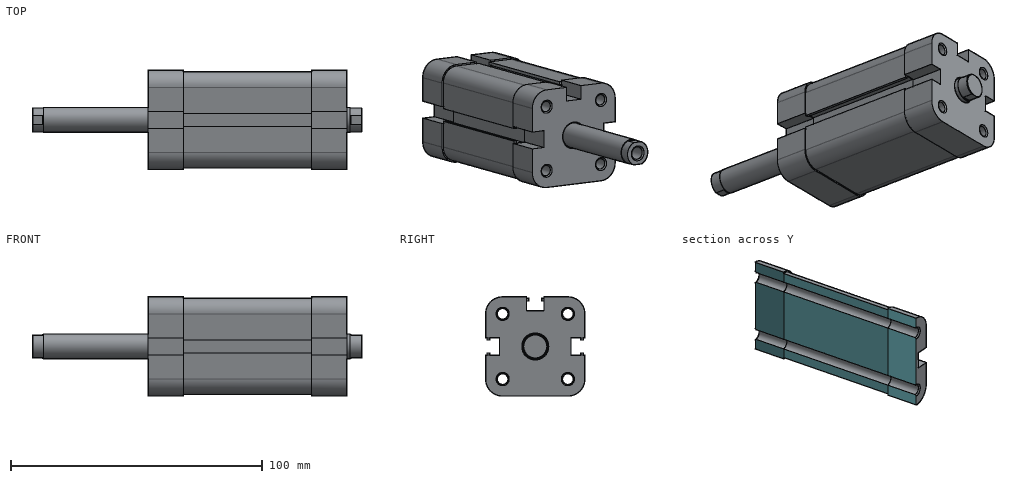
import cadquery as cq

ROD_LENGTH = 131.0
FRONT_CAP_START = 46.0
CAP_LENGTH = 14.0
BARREL_LENGTH = 51.0
BARREL_START = FRONT_CAP_START + CAP_LENGTH
BARREL_MIDDLE = BARREL_START + BARREL_LENGTH / 2

CAP_WIDTH = 39.5
BARREL_WIDTH = 38.4
HOLE_SPACING = 26.0
CORNER_HOLES = [(y * HOLE_SPACING / 2, z * HOLE_SPACING / 2) for y in (-1, 1) for z in (-1, 1)]
HOLE_DIAMETER = 4.2
HOLE_CHAMFER = 0.5

SLOT_ANGLES = (-90, 0, 90)
SLOT_WIDTH = 6.8
SLOT_DEPTH = 5.5
SLOT_FLOOR = CAP_WIDTH / 2 - SLOT_DEPTH
LIP_OPENING = 5.1
LIP_THICKNESS = 1.2
UNDERCUT_WIDTH = 7.3

ROD_DIAMETER = 10.0
ROD_HOLE_CHAMFER = 0.4
END_DIAMETER = 9.7
FLAT_SPAN = 9.0
FLAT_LENGTH = 4.0
FLAT_TO_STEP = 0.4
TAIL_CHAMFER = 0.3
TIP_FLAT_LENGTH = FLAT_LENGTH
TAIL_FLAT_LENGTH = FLAT_LENGTH + TAIL_CHAMFER
TIP_END_LENGTH = TIP_FLAT_LENGTH + FLAT_TO_STEP
TAIL_END_LENGTH = TAIL_FLAT_LENGTH + FLAT_TO_STEP
SHANK_LENGTH = ROD_LENGTH - TIP_END_LENGTH - TAIL_END_LENGTH
SOCKET_DIAMETER = 5.0
SOCKET_DEPTH = 13.1
SOCKET_CONE_DEPTH = 1.5
SOCKET_CHAMFER = 0.5


def section_at(x):
    """Sketch plane at the given X, with its local axes along Y and Z."""
    return cq.Workplane("YZ", origin=(x, 0, 0))


def rounded_prism(start, length, width):
    """Square prism along X with its corners rounded about the corner hole centres."""
    corner_radius = (width - HOLE_SPACING) / 2
    return section_at(start).rect(width, width).extrude(length).edges("|X").fillet(corner_radius)


def cut_bores(body, start, length):
    """Cut the rod hole and the four corner holes through the body."""
    rod_hole = section_at(start).circle(ROD_DIAMETER / 2).extrude(length)
    corner_holes = section_at(start).pushPoints(CORNER_HOLES).circle(HOLE_DIAMETER / 2).extrude(length)
    return body.cut(rod_hole).cut(corner_holes)


def cut_slots(body, start, length, width, bottom, top):
    """Cut a channel between two heights above the axis into each slotted side."""
    channel = (
        section_at(start)
        .center(0, (bottom + top) / 2)
        .rect(width, top - bottom)
        .extrude(length)
    )
    for angle in SLOT_ANGLES:
        body = body.cut(channel.rotate((0, 0, 0), (1, 0, 0), angle))
    return body


def rim_chamfer(diameter, size):
    """Cone that chamfers the rim of an axial hole on the front cap's outer face."""
    return (
        section_at(FRONT_CAP_START)
        .circle(diameter / 2 + size)
        .workplane(offset=size)
        .circle(diameter / 2)
        .loft()
    )


def make_front_cap():
    """End cap with plain slots and with its holes chamfered on the outer face."""
    cap = rounded_prism(FRONT_CAP_START, CAP_LENGTH, CAP_WIDTH)
    cap = cut_slots(cap, FRONT_CAP_START, CAP_LENGTH, SLOT_WIDTH, SLOT_FLOOR, CAP_WIDTH / 2)
    cap = cut_bores(cap, FRONT_CAP_START, CAP_LENGTH)
    cap = cap.cut(rim_chamfer(ROD_DIAMETER, ROD_HOLE_CHAMFER))
    for y, z in CORNER_HOLES:
        cap = cap.cut(rim_chamfer(HOLE_DIAMETER, HOLE_CHAMFER).translate((0, y, z)))
    return cap


def make_barrel():
    """Middle profile, whose slots are narrowed by a lip along each mouth edge."""
    barrel = rounded_prism(BARREL_START, BARREL_LENGTH, BARREL_WIDTH)
    mouth = BARREL_WIDTH / 2
    lip_underside = mouth - LIP_THICKNESS
    barrel = cut_slots(barrel, BARREL_START, BARREL_LENGTH, UNDERCUT_WIDTH, SLOT_FLOOR, lip_underside)
    barrel = cut_slots(barrel, BARREL_START, BARREL_LENGTH, LIP_OPENING, lip_underside, mouth)
    return cut_bores(barrel, BARREL_START, BARREL_LENGTH)


def cut_flats(rod, start, length):
    """Cut a pair of flats into the top and bottom of a slim rod end."""
    flat_depth = (END_DIAMETER - FLAT_SPAN) / 2
    for side in (-1, 1):
        cutter = (
            section_at(start)
            .center(0, side * (FLAT_SPAN + flat_depth) / 2)
            .rect(END_DIAMETER, flat_depth)
            .extrude(length)
        )
        rod = rod.cut(cutter)
    return rod


def make_socket():
    """Chamfered blind hole with a conical bottom, as a solid to cut away."""
    radius = SOCKET_DIAMETER / 2
    return (
        cq.Workplane("XY")
        .lineTo(0, radius + SOCKET_CHAMFER)
        .lineTo(SOCKET_CHAMFER, radius)
        .lineTo(SOCKET_DEPTH, radius)
        .lineTo(SOCKET_DEPTH + SOCKET_CONE_DEPTH, 0)
        .close()
        .revolve(360, (0, 0, 0), (1, 0, 0))
    )


def make_rod():
    """Stepped rod; the tail end is chamfered before its flats are cut."""
    rod = section_at(TIP_END_LENGTH).circle(ROD_DIAMETER / 2).extrude(SHANK_LENGTH)
    rod = rod.union(section_at(0).circle(END_DIAMETER / 2).extrude(ROD_LENGTH))
    rod = rod.faces(">X").chamfer(TAIL_CHAMFER)
    rod = cut_flats(rod, 0, TIP_FLAT_LENGTH)
    rod = cut_flats(rod, ROD_LENGTH - TAIL_FLAT_LENGTH, TAIL_FLAT_LENGTH)
    return rod.cut(make_socket())


front_cap = make_front_cap()
barrel = make_barrel()
rear_cap = front_cap.mirror("YZ", (BARREL_MIDDLE, 0, 0))
rod = make_rod()

result = cq.Compound.makeCompound([front_cap.val(), barrel.val(), rear_cap.val(), rod.val()])